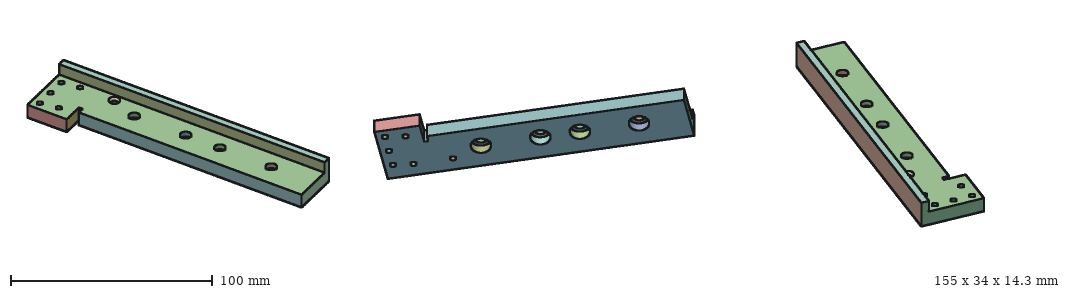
import cadquery as cq

length = 155.0
width = 34.0
height = 14.3
plate_thickness = 7.9
lip_width = 4.2

foot_length = 23.0
slot_width = 2.0
beam_front = 8.0
slot_end = 11.6

small_diameter = 3.0
large_diameter = 5.7
counterbore_diameter = 10.0
counterbore_depth = 5.0
countersink_diameter = 5.7
end_column_x = 4.5
inner_column_x = 14.5
end_column_pitch = 10.0
inner_column_pitch = 20.0
end_column_y = [4.5 + i * end_column_pitch for i in range(3)]
inner_column_y = [6.0 + i * inner_column_pitch for i in range(2)]
large_hole_y = 20.0
large_hole_x = [49.9, 80.0, 100.0, 129.9]
countersink_x = 34.5
countersink_y = inner_column_y[-1]
countersink_angle = 90


def make_plate():
    """Plate with the foot projecting forward at its left end."""
    slot_right = foot_length + slot_width
    outline = [
        (0, 0),
        (foot_length, 0),
        (foot_length, slot_end),
        (slot_right, slot_end),
        (slot_right, beam_front),
        (length, beam_front),
        (length, width),
        (0, width),
    ]
    return cq.Workplane("XY").polyline(outline).close().extrude(plate_thickness)


def make_lip():
    """Upright lip along the whole back edge."""
    return cq.Workplane("XY").box(length, lip_width, height, centered=False).translate(
        (0, width - lip_width, 0)
    )


def drill(body, points, diameter, depth):
    """Drill holes to the given depth, measured up from the underside."""
    drills = cq.Workplane("XY").pushPoints(points).circle(diameter / 2).extrude(depth)
    return body.cut(drills)


small_holes = [(end_column_x, y) for y in end_column_y]
small_holes += [(inner_column_x, y) for y in inner_column_y]
large_holes = [(x, large_hole_y) for x in large_hole_x]

result = make_plate().union(make_lip())
result = drill(result, small_holes, small_diameter, plate_thickness)
result = drill(result, large_holes, large_diameter, plate_thickness)

result = drill(result, large_holes, counterbore_diameter, counterbore_depth)

result = (
    result.copyWorkplane(cq.Workplane("XY", origin=(countersink_x, countersink_y, plate_thickness)))
    .cskHole(small_diameter, countersink_diameter, countersink_angle, depth=plate_thickness)
)